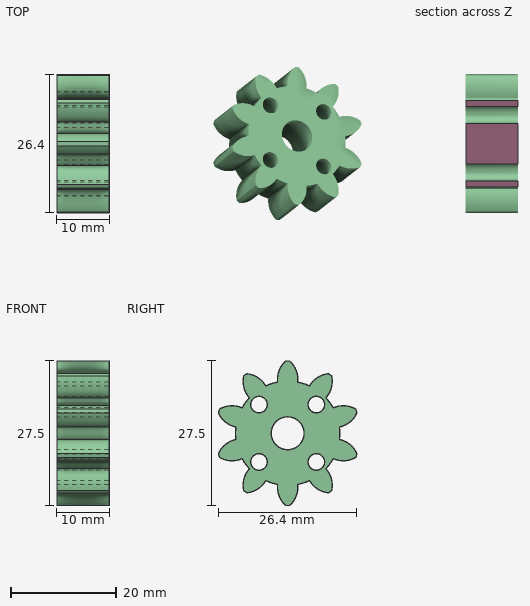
import cadquery as cq
import math

face_width = 10.0
teeth = 10
outer_radius = 13.75
root_radius = 9.93

flank_radius = 4.705
flank_centre_offset = 2.742
flank_centre_height = 10.228

bore_diameter = 6.2
bolt_hole_diameter = 3.1
bolt_hole_spacing = 10.9

tooth_pitch = 2 * math.pi / teeth


def flank_half_angle(radius):
    """Angle from the tooth centreline to the flank, at a given radius from the gear axis."""
    centre_distance = math.hypot(flank_centre_offset, flank_centre_height)
    centre_angle = math.atan2(flank_centre_offset, flank_centre_height)
    cosine = (radius**2 + centre_distance**2 - flank_radius**2) / (2 * radius * centre_distance)
    return math.acos(cosine) - centre_angle


def polar(radius, angle):
    """Point at a radius from the gear axis, with the angle measured from +Z towards +Y."""
    return (radius * math.sin(angle), radius * math.cos(angle))


def gear_outline():
    """Closed outline of the gear: two flanks, a tip arc and a root arc for every tooth."""
    mid_radius = (root_radius + outer_radius) / 2
    root_angle = flank_half_angle(root_radius)
    mid_angle = flank_half_angle(mid_radius)
    tip_angle = flank_half_angle(outer_radius)

    outline = cq.Workplane("YZ").moveTo(*polar(root_radius, -root_angle))
    for index in range(teeth):
        tooth = index * tooth_pitch
        outline = (
            outline
            .threePointArc(polar(mid_radius, tooth - mid_angle), polar(outer_radius, tooth - tip_angle))
            .threePointArc(polar(outer_radius, tooth), polar(outer_radius, tooth + tip_angle))
            .threePointArc(polar(mid_radius, tooth + mid_angle), polar(root_radius, tooth + root_angle))
            .threePointArc(
                polar(root_radius, tooth + tooth_pitch / 2),
                polar(root_radius, tooth + tooth_pitch - root_angle),
            )
        )
    return outline.close()


def bore():
    """Central shaft hole, through the full face width."""
    return cq.Workplane("YZ").circle(bore_diameter / 2).extrude(face_width)


def bolt_holes():
    """Four through holes on a square around the bore."""
    return (
        cq.Workplane("YZ")
        .rarray(bolt_hole_spacing, bolt_hole_spacing, 2, 2)
        .circle(bolt_hole_diameter / 2)
        .extrude(face_width)
    )


gear = gear_outline().extrude(face_width)
result = gear.cut(bore()).cut(bolt_holes())